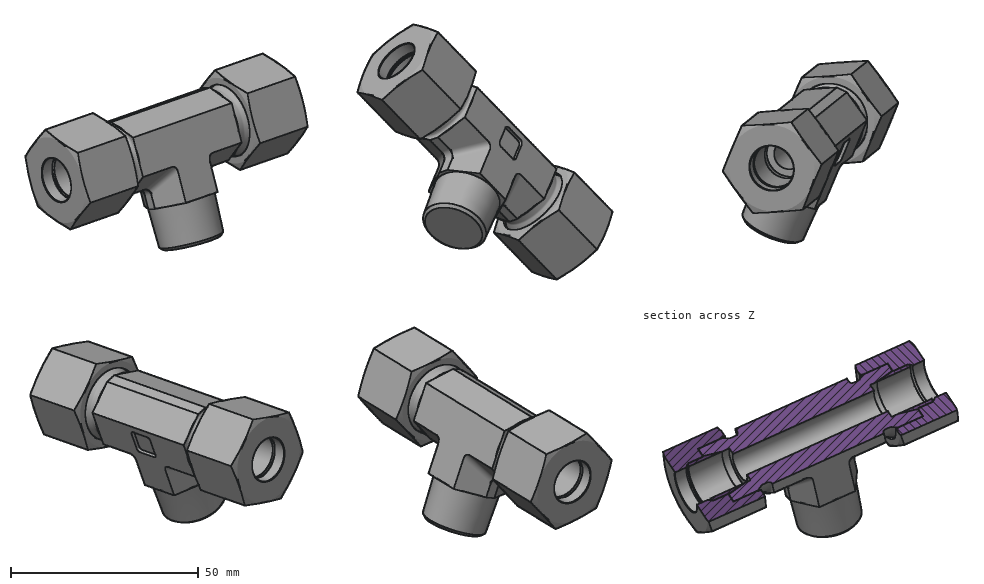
import cadquery as cq
import math

BRANCH_TILT = 22.5

NUT_FACE = 38.0
NUT_LENGTH = 17.5
NUT_MOUTH = NUT_FACE - NUT_LENGTH
BODY_SHOULDER = 17.0
BODY_END = 28.95
NUT_SEAT_END = 34.5
FERRULE_BACK = 33.75
TUBE_STOP = 21.5

BORE_DIA = 8.0
TUBE_DIA = 12.0
NUT_HOLE_DIA = 12.15
FERRULE_DIA = 14.3
NECK_DIA = 17.7
THREAD_DIA = 20.0

NECK_FILLET = 0.9
RELIEF_START = 19.3
RELIEF_ANGLE = math.radians(30)
NOSE_ANGLE = math.radians(12)
BACK_ANGLE = math.radians(45)
NOSE_TIP = BODY_END - (FERRULE_DIA - TUBE_DIA) / 2 / math.tan(NOSE_ANGLE)
NUT_SEAT_START = NUT_SEAT_END - (FERRULE_DIA - NUT_HOLE_DIA) / 2 / math.tan(BACK_ANGLE)

HALF_SIDE_ANGLE = math.radians(30)
BODY_FLATS = 19.0
BAR_TRUNCATION = 10.1
BRANCH_SHOULDER = 15.95
CORNER_FILLET = 2.0
TOLERANCE = 0.001

BRANCH_END = 28.0
STUD_BASE_DIA = 18.4
STUD_TIP_DIA = 17.7
STUD_END_DIA = 16.0

RECESS_SIZE = 7.0
RECESS_CORNER = 1.0
RECESS_DEPTH = 1.0

NUT_FLATS = 24.0
NUT_FACE_DIA = 23.8
NUT_HOLE_CHAMFER = 0.15
NUT_CHAMFER_ANGLE = math.radians(15)


def revolve_about_run(profile):
    """Turn a closed (radius, place along the run) profile about the run axis."""
    return profile.close().revolve(360, (0, 0, 0), (0, 1, 0))


def truncated_hexagon(plane):
    """Hexagon with flats on local x, and its two corners on local y cut square."""
    half_flats = BODY_FLATS / 2
    side_half = half_flats * math.tan(HALF_SIDE_ANGLE)
    corner_radius = 2 * side_half
    cut_half = (corner_radius - BAR_TRUNCATION) / math.tan(HALF_SIDE_ANGLE)
    quarter = [(half_flats, side_half), (cut_half, BAR_TRUNCATION)]
    upper = quarter + [(-x, y) for x, y in reversed(quarter)]
    lower = [(-x, -y) for x, y in upper]
    return cq.Workplane(plane).polyline(upper + lower).close()


def hexagonal_tee():
    """Hexagonal run and branch, with the inside corners between them rounded."""
    run = truncated_hexagon("XZ").extrude(BODY_SHOULDER, both=True)
    branch = truncated_hexagon("XY").extrude(-BRANCH_SHOULDER)
    tee = run.union(branch)

    def is_root(edge):
        """Run and branch have equal sections, so their common edges lie where |y| = |z|."""
        center = edge.Center()
        return abs(abs(center.y) - abs(center.z)) < TOLERANCE

    return tee.newObject([edge for edge in tee.edges().vals() if is_root(edge)]).fillet(CORNER_FILLET)


def branch_stud():
    """Tapered stud with a chamfered tip."""
    chamfer = (STUD_TIP_DIA - STUD_END_DIA) / 2
    profile = [
        (0, -BRANCH_SHOULDER),
        (STUD_BASE_DIA / 2, -BRANCH_SHOULDER),
        (STUD_TIP_DIA / 2, -BRANCH_END + chamfer),
        (STUD_END_DIA / 2, -BRANCH_END),
        (0, -BRANCH_END),
    ]
    return cq.Workplane("XZ").polyline(profile).close().revolve()


def run_stud():
    """Neck and threaded stud at the +Y end of the run."""
    neck = NECK_DIA / 2
    thread = THREAD_DIA / 2
    half_turn = RELIEF_ANGLE / 2
    arc_mid = (
        neck + NECK_FILLET * (1 - math.cos(half_turn)),
        RELIEF_START + NECK_FILLET * math.sin(half_turn),
    )
    arc_end = (
        neck + NECK_FILLET * (1 - math.cos(RELIEF_ANGLE)),
        RELIEF_START + NECK_FILLET * math.sin(RELIEF_ANGLE),
    )
    thread_start = arc_end[1] + (thread - arc_end[0]) / math.tan(RELIEF_ANGLE)
    profile = (
        cq.Workplane("XY")
        .moveTo(0, BODY_SHOULDER)
        .lineTo(neck + NECK_FILLET, BODY_SHOULDER)
        .radiusArc((neck, BODY_SHOULDER + NECK_FILLET), NECK_FILLET)
        .lineTo(neck, RELIEF_START)
        .threePointArc(arc_mid, arc_end)
        .lineTo(thread, thread_start)
        .lineTo(thread, BODY_END)
        .lineTo(0, BODY_END)
    )
    return revolve_about_run(profile)


def tube_socket():
    """Space for the tube and the ferrule nose at the +Y end of the run."""
    tube = TUBE_DIA / 2
    ferrule = FERRULE_DIA / 2
    profile = cq.Workplane("XY").polyline(
        [(0, TUBE_STOP), (tube, TUBE_STOP), (tube, NOSE_TIP), (ferrule, BODY_END), (0, BODY_END)]
    )
    return revolve_about_run(profile)


def marking_recess():
    """Rounded square recess in the -X flat."""
    return (
        cq.Workplane("YZ", origin=(-BODY_FLATS / 2, 0, 0))
        .rect(RECESS_SIZE, RECESS_SIZE)
        .extrude(RECESS_DEPTH)
        .edges("|X")
        .fillet(RECESS_CORNER)
    )


def make_body():
    """Tee with a tapered branch stud and a threaded stud at each end of the run."""
    body = hexagonal_tee().union(branch_stud())
    stud = run_stud()
    socket = tube_socket()
    body = body.union(stud).union(stud.mirror("XZ"))
    body = body.cut(socket).cut(socket.mirror("XZ"))
    bore = cq.Workplane("XZ").circle(BORE_DIA / 2).extrude(BODY_END, both=True)
    return body.cut(bore).cut(marking_recess())


def make_ferrule():
    """Ring at the +Y end, with a tapered nose in the body and a tapered back in the nut."""
    tube = TUBE_DIA / 2
    ferrule = FERRULE_DIA / 2
    back = ferrule - (FERRULE_BACK - NUT_SEAT_START) * math.tan(BACK_ANGLE)
    profile = cq.Workplane("XY").polyline(
        [
            (tube, NOSE_TIP),
            (ferrule, BODY_END),
            (ferrule, NUT_SEAT_START),
            (back, FERRULE_BACK),
            (tube, FERRULE_BACK),
        ]
    )
    return revolve_about_run(profile)


def make_nut():
    """Hexagonal nut at the +Y end, chamfered on both faces."""
    corner_radius = NUT_FLATS / math.sqrt(3)
    face_radius = NUT_FACE_DIA / 2
    chamfer = (corner_radius - face_radius) * math.tan(NUT_CHAMFER_ANGLE)
    hexagon = (
        cq.Workplane("XZ", origin=(0, NUT_FACE, 0))
        .polygon(6, 2 * corner_radius)
        .extrude(NUT_LENGTH)
        .rotate((0, 0, 0), (0, 1, 0), math.degrees(HALF_SIDE_ANGLE))
    )
    envelope = revolve_about_run(
        cq.Workplane("XY").polyline(
            [
                (0, NUT_MOUTH),
                (face_radius, NUT_MOUTH),
                (corner_radius, NUT_MOUTH + chamfer),
                (corner_radius, NUT_FACE - chamfer),
                (face_radius, NUT_FACE),
                (0, NUT_FACE),
            ]
        )
    )
    ferrule = FERRULE_DIA / 2
    hole = NUT_HOLE_DIA / 2
    thread = THREAD_DIA / 2
    cavity = revolve_about_run(
        cq.Workplane("XY").polyline(
            [
                (0, NUT_MOUTH),
                (thread, NUT_MOUTH),
                (thread, BODY_END),
                (ferrule, BODY_END),
                (ferrule, NUT_SEAT_START),
                (hole, NUT_SEAT_END),
                (hole, NUT_FACE - NUT_HOLE_CHAMFER),
                (hole + NUT_HOLE_CHAMFER, NUT_FACE),
                (0, NUT_FACE),
            ]
        )
    )
    return hexagon.intersect(envelope).cut(cavity)


def tilted(part):
    """Turn a part about the run from the local frame into its final place."""
    return part.rotate((0, 0, 0), (0, 1, 0), -BRANCH_TILT)


body = tilted(make_body())
ferrules = []
nuts = []
for place_at_end in (lambda part: part, lambda part: part.mirror("XZ")):
    ferrules.append(tilted(place_at_end(make_ferrule())))
    nuts.append(tilted(place_at_end(make_nut())))

result = cq.Compound.makeCompound([part.val() for part in [body, *ferrules, *nuts]])